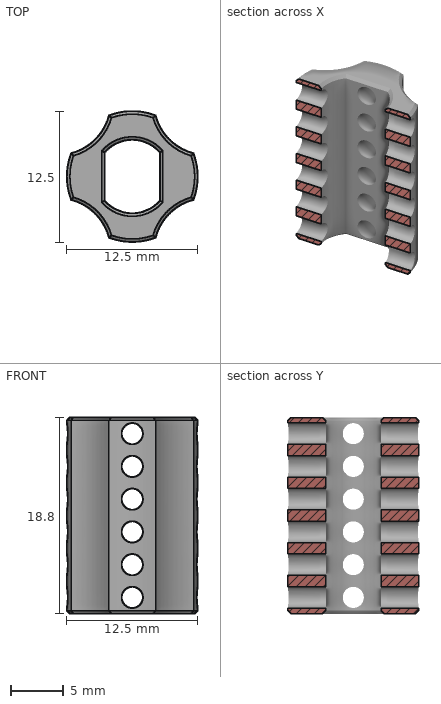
import cadquery as cq

length = 18.75
outer_diameter = 12.5
bore_diameter = 7.0
bore_across_flats = 5.25
groove_radius = 5.0
groove_offset = 2 * groove_radius
groove_count = 4
first_groove_angle = 45.0
hole_diameter = 2.0
hole_rows = 6
hole_pitch = length / hole_rows
edge_chamfer = 0.3


def fluted_body():
    """Cylinder on the Z axis with four concave grooves along its full length."""
    body = cq.Workplane("XY").circle(outer_diameter / 2).extrude(length)
    grooves = (
        cq.Workplane("XY")
        .polarArray(groove_offset, first_groove_angle, 360, groove_count)
        .circle(groove_radius)
        .extrude(length)
    )
    return body.cut(grooves)


def double_d_bore():
    """Round through bore flattened on its +X and -X sides."""
    round_bore = cq.Workplane("XY").circle(bore_diameter / 2).extrude(length)
    flats = (
        cq.Workplane("XY")
        .rect(bore_across_flats, bore_diameter)
        .extrude(length)
    )
    return round_bore.intersect(flats)


def cross_holes(plane):
    """Column of evenly spaced holes through the whole part, normal to the given plane."""
    return (
        cq.Workplane(plane, origin=(0, 0, length / 2))
        .rarray(0.19, hole_pitch, 1, hole_rows)
        .circle(hole_diameter / 2)
        .extrude(outer_diameter / 2, both=True)
    )


sleeve = fluted_body().cut(double_d_bore())

sleeve = sleeve.faces("|Z").edges().chamfer(edge_chamfer)

for hole_plane in ("XZ", "YZ"):
    sleeve = sleeve.cut(cross_holes(hole_plane))

result = sleeve